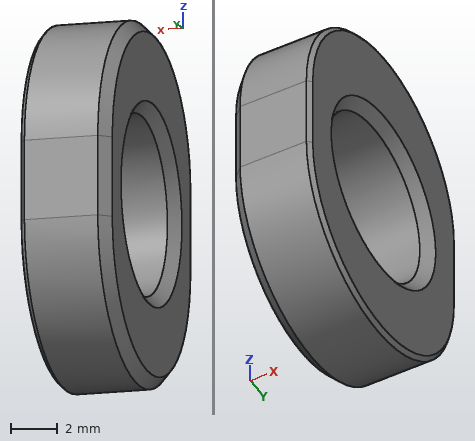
import cadquery as cq

thickness = 4.0
width = 12.5
height = 16.0

bore_diameter = 7.94

front_rim_chamfer = 0.5
back_rim_chamfer = 0.2
bore_chamfer = 0.5


def make_body():
    """Obround plate standing in the YZ plane, chamfered around both faces."""
    body = cq.Workplane("YZ").slot2D(height, width, angle=90).extrude(thickness)
    body = body.faces("<X").chamfer(front_rim_chamfer)
    return body.faces(">X").chamfer(back_rim_chamfer)


def cut_bore(body):
    """Cut the through hole along X and chamfer its two mouths."""
    bore = cq.Workplane("YZ").circle(bore_diameter / 2).extrude(thickness)
    bored = body.cut(bore)
    smallest_circles = cq.selectors.RadiusNthSelector(0)
    mouths = bored.faces("<X or >X").edges("%CIRCLE").edges(smallest_circles)
    return mouths.chamfer(bore_chamfer)


result = cut_bore(make_body())